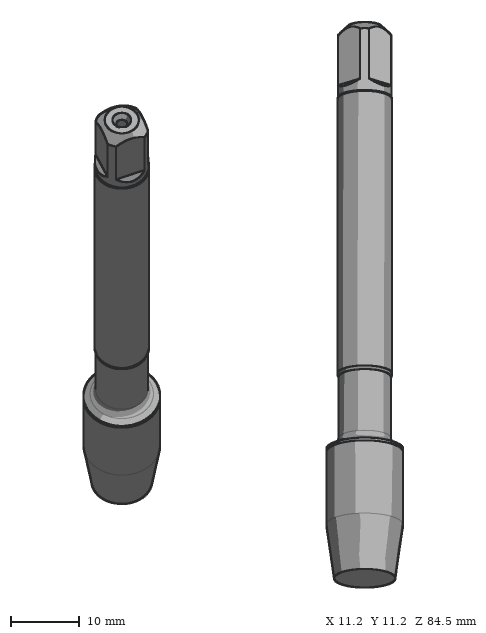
import cadquery as cq
import math

total_length = 84.5

head_diameter = 11.2
lead_tip_diameter = 8.95
lead_length = 8.2
head_length = 19.35

fillet_radius = 1.35
fillet_top = 21.5
shoulder_slope = 25.0

neck_diameter = 7.7
neck_top = 30.85
shank_start = 31.35
shank_diameter = 8.0
shank_end = 73.6
drive_diameter = 7.9
drive_step_height = 0.2

square_width = 6.4
square_bottom = 75.4
end_face_diameter = 5.0

center_hole_diameter = 1.6
center_hole_depth = 2.95
drill_tip_angle = 120.0
countersink_diameter = 2.7
countersink_angle = 60.0


def make_head():
    """Cutting head, a cylinder that tapers towards the tip."""
    radius = head_diameter / 2
    return (
        cq.Workplane("XZ")
        .lineTo(lead_tip_diameter / 2, 0)
        .lineTo(radius, lead_length)
        .lineTo(radius, head_length)
        .lineTo(0, head_length)
        .close()
        .revolve(360, (0, 0, 0), (0, 1, 0))
    )


def make_turned_shank():
    """Shoulder, neck, shank and round drive end, turned about Z."""
    rim_radius = head_diameter / 2
    neck_radius = neck_diameter / 2
    shank_radius = shank_diameter / 2
    drive_radius = drive_diameter / 2
    end_radius = end_face_diameter / 2
    end_chamfer = drive_radius - end_radius
    slope = math.radians(shoulder_slope)
    middle_angle = slope / 2 + math.pi / 4
    fillet_center = neck_radius + fillet_radius
    cone_top_radius = fillet_center - fillet_radius * math.sin(slope)
    cone_top = fillet_top - fillet_radius * math.cos(slope)
    rim_top = cone_top - (rim_radius - cone_top_radius) * math.tan(slope)
    fillet_middle = (
        fillet_center - fillet_radius * math.sin(middle_angle),
        fillet_top - fillet_radius * math.cos(middle_angle),
    )
    return (
        cq.Workplane("XZ")
        .moveTo(0, head_length)
        .lineTo(rim_radius, head_length)
        .lineTo(rim_radius, rim_top)
        .lineTo(cone_top_radius, cone_top)
        .threePointArc(fillet_middle, (neck_radius, fillet_top))
        .lineTo(neck_radius, neck_top)
        .lineTo(shank_radius, shank_start)
        .lineTo(shank_radius, shank_end - drive_step_height)
        .lineTo(drive_radius, shank_end)
        .lineTo(drive_radius, total_length - end_chamfer)
        .lineTo(end_radius, total_length)
        .lineTo(0, total_length)
        .close()
        .revolve(360, (0, 0, 0), (0, 1, 0))
    )


def make_flat_cutter():
    """Cutter for the flat on the +X side, with a 45 degree run-out at its lower end."""
    flat_distance = square_width / 2
    outer_distance = shank_diameter
    run_out = outer_distance - flat_distance
    return (
        cq.Workplane("XZ")
        .moveTo(flat_distance, square_bottom)
        .lineTo(outer_distance, square_bottom - run_out)
        .lineTo(outer_distance, total_length)
        .lineTo(flat_distance, total_length)
        .close()
        .extrude(shank_diameter / 2, both=True)
    )


def make_center_hole():
    """Countersunk blind hole with a conical bottom, opening at the end face."""
    hole_radius = center_hole_diameter / 2
    sink_radius = countersink_diameter / 2
    sink_depth = (sink_radius - hole_radius) / math.tan(math.radians(countersink_angle / 2))
    tip_depth = hole_radius / math.tan(math.radians(drill_tip_angle / 2))
    hole_bottom = total_length - center_hole_depth
    return (
        cq.Workplane("XZ")
        .moveTo(0, total_length)
        .lineTo(sink_radius, total_length)
        .lineTo(hole_radius, total_length - sink_depth)
        .lineTo(hole_radius, hole_bottom)
        .lineTo(0, hole_bottom - tip_depth)
        .close()
        .revolve(360, (0, 0, 0), (0, 1, 0))
    )


def make_shank():
    """Shank with its drive square and centre hole."""
    body = make_turned_shank()
    flat_cutter = make_flat_cutter()
    for angle in range(0, 360, 90):
        body = body.cut(flat_cutter.rotate((0, 0, 0), (0, 0, 1), angle))
    return body.cut(make_center_hole())


head = make_head()
shank = make_shank()

result = cq.Compound.makeCompound([head.val(), shank.val()])